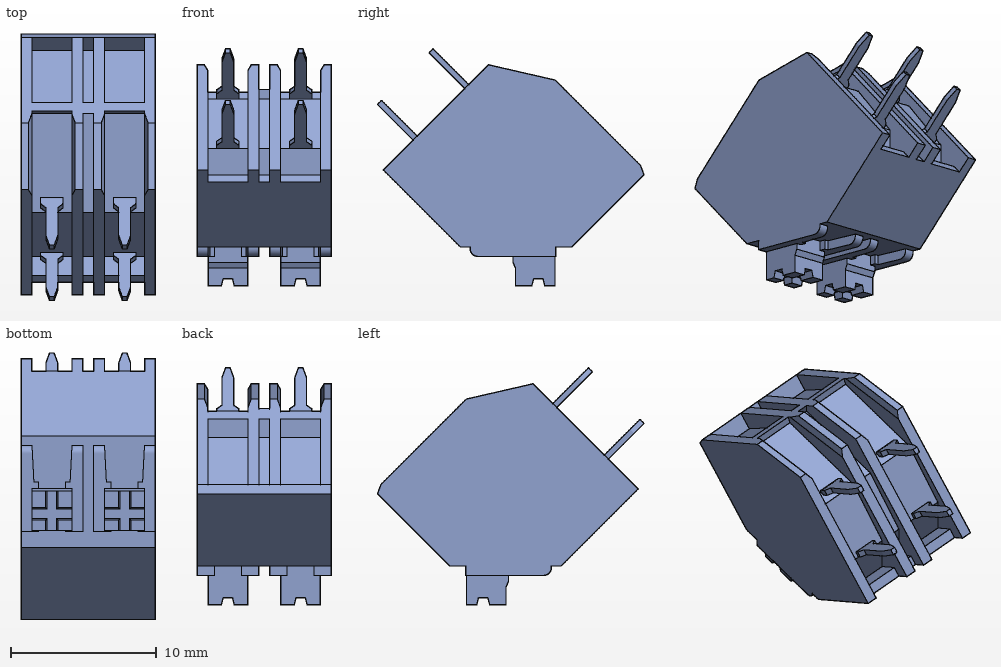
import math

import cadquery as cq


total_width = 9.2
pole_gap = 0.75
pole_pitch = 5.0
pocket_width = 2.75
pole_width = (total_width - pole_gap) / 2
body_centre = (pole_gap + pole_width) / 2

apex_y, apex_z = -1.54, 12.52
ridge_y, ridge_z = 3.04, 11.47
bottom_front_y = -3.46
bottom_rear_y = 4.19
rear_height = 4.96
rear_bevel_y, rear_bevel_z = 0.24, 0.64
nose_z = (bottom_front_y - apex_y + apex_z) / 2
nose_y = bottom_front_y - nose_z
rear_y = bottom_rear_y + rear_height
rear_top_y = rear_y - rear_bevel_y
rear_top_z = rear_height + rear_bevel_z

recess_floor_z = 10.16
recess_rear_y = 3.68
rim_top_y = 3.87
step_top_y = -3.09
step_foot_y, step_foot_z = -6.13, 6.75
lip_height = 4.45
lip_thickness = 0.7

rear_recess_top_y = 4.43
rear_recess_depth = 1.27
rear_floor_angle = 49.0

bevel_width = 0.23
bevel_depth = 0.47

pin_thickness = 0.4
pin_rows = 2
pin_pitch = 5.0
upper_pin_offset = -5.65
pin_tip_reach = 13.4
pin_bend_reach = 9.0
pin_bend_radius = 0.5
pin_bend_angle = 45
pin_leg_length = 1.0
pin_base_width = 1.52
pin_width = 0.83
pin_tip_width = 0.33
pin_taper_length = 0.98
pin_shoulder_reach = 9.42

foot_depth = 0.65
foot_front_y, foot_rear_y = -2.8, 3.09
foot_radius = 0.55
foot_width = 0.74
foot_taper = 0.13
foot_block_width = 0.3
foot_block_front_y = -0.3

post_width = 2.73
post_rear_y = 3.04
post_front_y = 0.32
post_head_front_y = 0.14
post_head_z = -1.05
post_shank_z = -1.45
post_bottom_z = -2.66
notch_centre_y = 1.885
notch_bottom_width = 0.87
notch_top_width = 0.63
notch_height = 0.48

sides = (-1, 1)


def prism(points, x_start, x_end):
    """Extrude a (Y, Z) outline between two X positions."""
    return cq.Workplane("YZ").workplane(offset=x_start).polyline(points).close().extrude(x_end - x_start)


def rear_slope_z(y):
    """Height of the 45 degree rear slope at y."""
    return ridge_z - (y - ridge_y)


def make_housing():
    outline = [
        (bottom_front_y, 0),
        (nose_y, nose_z),
        (apex_y, apex_z),
        (ridge_y, ridge_z),
        (rear_top_y, rear_top_z),
        (rear_y, rear_height),
        (bottom_rear_y, 0),
    ]
    return prism(outline, -total_width / 2, total_width / 2)


def cut_front_recess(body, x_start, x_end, rim_y):
    """Open the front between two walls, leaving a low lip along the lower front edge."""
    clearance = 3.0
    lip_y = bottom_front_y - lip_height
    lip_run = lip_thickness / math.sqrt(2)
    lip_inner_y = lip_y + lip_run
    lip_inner_z = lip_height + lip_run
    well_z = lip_inner_z - (step_foot_y - lip_inner_y)
    outline = [
        (lip_y - clearance, lip_height - clearance),
        (lip_inner_y, lip_inner_z),
        (step_foot_y, well_z),
        (step_foot_y, step_foot_z),
        (step_top_y, recess_floor_z),
        (recess_rear_y, recess_floor_z),
        (rim_y, rear_slope_z(rim_y)),
        (rim_y, apex_z + clearance),
        (lip_y - clearance, apex_z + clearance),
    ]
    return body.cut(prism(outline, x_start, x_end))


def cut_rear_recess(body, x_start, x_end):
    """Sink a pocket into the rear slope: upper wall vertical, lower wall square to the slope."""
    depth_run = rear_recess_depth / math.sqrt(2)
    floor_rear_y = rear_top_y - depth_run
    floor_rear_z = rear_top_z - depth_run
    floor_rise = (floor_rear_y - rear_recess_top_y) * math.tan(math.radians(rear_floor_angle))
    outline = [
        (rear_top_y, rear_top_z),
        (floor_rear_y, floor_rear_z),
        (rear_recess_top_y, floor_rear_z + floor_rise),
        (rear_recess_top_y, rear_slope_z(rear_recess_top_y)),
    ]
    return body.cut(prism(outline, x_start, x_end))


def cut_wall_bevel(body, edge_x, outward):
    """Bevel the sloping top edge of a wall whose pocket side is at edge_x."""
    overrun = 1.0
    slope = (0, ridge_y - apex_y, ridge_z - apex_z)
    slope_length = math.hypot(slope[1], slope[2])
    across = cq.Plane(origin=(0, apex_y, apex_z), xDir=(1, 0, 0), normal=slope)
    corner = [(edge_x, 0), (edge_x + outward * bevel_width, 0), (edge_x, bevel_depth)]
    section = cq.Workplane(across).workplane(offset=-overrun).polyline(corner).close()
    return body.cut(section.extrude(slope_length + 2 * overrun))


def make_pin_blade(pin_x, offset):
    """Flat pointed blade with shoulders, sticking out square to the front face."""
    plane = cq.Plane(origin=(pin_x, 0, 0), xDir=(1, 0, 0), normal=(0, -1, -1))
    half_base = pin_base_width / 2
    half_shaft = pin_width / 2
    half_tip = pin_tip_width / 2
    shaft_start = pin_shoulder_reach + half_base - half_shaft
    right_half = [
        (half_base, pin_bend_reach),
        (half_base, pin_shoulder_reach),
        (half_shaft, shaft_start),
        (half_shaft, pin_tip_reach - pin_taper_length),
        (half_tip, pin_tip_reach),
    ]
    left_half = [(-x, reach) for x, reach in reversed(right_half)]
    section = cq.Workplane(plane).workplane(offset=offset - pin_thickness / 2)
    return section.polyline(right_half + left_half).close().extrude(pin_thickness)


def make_pin_root(pin_x, offset):
    """Bend from the blade down into a vertical leg."""
    down_face = offset - pin_thickness / 2 + pin_bend_radius
    centre_y = -(pin_bend_reach + down_face) / math.sqrt(2)
    centre_z = (pin_bend_reach - down_face) / math.sqrt(2)

    def on_bend(radius, degrees):
        angle = math.radians(degrees)
        return (centre_y + radius * math.cos(angle), centre_z + radius * math.sin(angle))

    outer = pin_bend_radius
    inner = pin_bend_radius - pin_thickness
    leg_bottom_z = centre_z - pin_leg_length
    section = (
        cq.Workplane("YZ")
        .workplane(offset=pin_x)
        .moveTo(*on_bend(inner, pin_bend_angle))
        .lineTo(*on_bend(outer, pin_bend_angle))
        .threePointArc(on_bend(outer, pin_bend_angle / 2), on_bend(outer, 0))
        .lineTo(centre_y + outer, leg_bottom_z)
        .lineTo(centre_y + inner, leg_bottom_z)
        .lineTo(*on_bend(inner, 0))
        .threePointArc(on_bend(inner, pin_bend_angle / 2), on_bend(inner, pin_bend_angle))
        .close()
    )
    return section.extrude(pin_base_width / 2, both=True)


def make_pin(pin_x, offset):
    """Bent pin; offset is measured down the front face from the 45 degree line through Y = Z = 0."""
    return make_pin_blade(pin_x, offset).union(make_pin_root(pin_x, offset))


def make_foot(outer_x, inward):
    """Rail under one wall: tapered inner side, stepped block at the rear, rounded front."""
    front_x = outer_x + inward * foot_width
    taper_x = front_x + inward * foot_taper
    block_x = taper_x + inward * foot_block_width
    plan = [
        (outer_x, foot_front_y),
        (front_x, foot_front_y),
        (taper_x, foot_block_front_y),
        (block_x, foot_block_front_y),
        (block_x, foot_rear_y),
        (outer_x, foot_rear_y),
    ]
    foot = cq.Workplane("XY").polyline(plan).close().extrude(-foot_depth)
    return foot.faces("<Y").edges("<Z").fillet(foot_radius)


def notch_section(plane, centre):
    """Tapered notch outline in the bottom edge of a post."""
    half_bottom = notch_bottom_width / 2
    half_top = notch_top_width / 2
    top_z = post_bottom_z + notch_height
    outline = [
        (centre - half_bottom, post_bottom_z),
        (centre - half_top, top_z),
        (centre + half_top, top_z),
        (centre + half_bottom, post_bottom_z),
    ]
    return cq.Workplane(plane).polyline(outline).close()


def make_post(side):
    """Post under one pole, with a notch across its end in each direction."""
    centre_x = side * body_centre
    outline = [
        (post_rear_y, 0),
        (post_head_front_y, 0),
        (post_head_front_y, post_head_z),
        (post_front_y, post_shank_z),
        (post_front_y, post_bottom_z),
        (post_rear_y, post_bottom_z),
    ]
    post = prism(outline, centre_x - post_width / 2, centre_x + post_width / 2)
    post = post.cut(notch_section("XZ", side * pole_pitch / 2).extrude(total_width, both=True))
    return post.cut(notch_section("YZ", notch_centre_y).extrude(total_width, both=True))


def make_block():
    block = make_housing()

    half_gap = pole_gap / 2
    block = cut_front_recess(block, -half_gap, half_gap, recess_rear_y)
    block = cut_rear_recess(block, -half_gap, half_gap)

    for side in sides:
        pole_x = side * pole_pitch / 2
        pocket_start = pole_x - pocket_width / 2
        pocket_end = pole_x + pocket_width / 2
        block = cut_front_recess(block, pocket_start, pocket_end, rim_top_y)
        block = cut_rear_recess(block, pocket_start, pocket_end)
        block = cut_wall_bevel(block, pocket_start, -1)
        block = cut_wall_bevel(block, pocket_end, 1)

        block = block.union(make_post(side))
        block = block.union(make_foot(side * total_width / 2, -side))
        block = block.union(make_foot(side * half_gap, side))

        for row in range(pin_rows):
            block = block.union(make_pin(pole_x, upper_pin_offset + row * pin_pitch))
    return block


result = make_block()